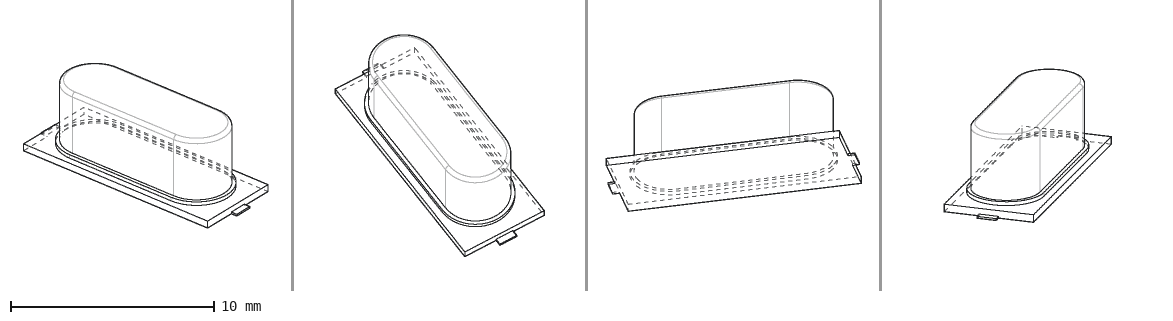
import cadquery as cq

base_length = 11.8
base_width = 4.65
base_height = 0.4

lead_span = 12.5
lead_width = 1.0
lead_thickness = 0.1

total_height = 4.0
can_length = 10.0
can_width = 3.5
can_top_fillet = 0.2
flange_overhang = 0.2
flange_height = 0.2


def block(length, width, height):
    """Box centred in X and Y that stands on Z = 0."""
    return cq.Workplane("XY").box(length, width, height, centered=(True, True, False))


def round_ended_block(length, width, bottom, top):
    """Upright block with semicircular ends, between two heights."""
    return cq.Workplane("XY").workplane(offset=bottom).slot2D(length, width).extrude(top - bottom)


base = block(base_length, base_width, base_height)
leads = block(lead_span, lead_width, lead_thickness)

flange_top = base_height + flange_height
flange = round_ended_block(
    can_length + 2 * flange_overhang,
    can_width + 2 * flange_overhang,
    base_height,
    flange_top,
)

can = round_ended_block(can_length, can_width, flange_top, total_height)
can = can.faces(">Z").edges().fillet(can_top_fillet)

result = base.union(leads).union(flange).union(can)